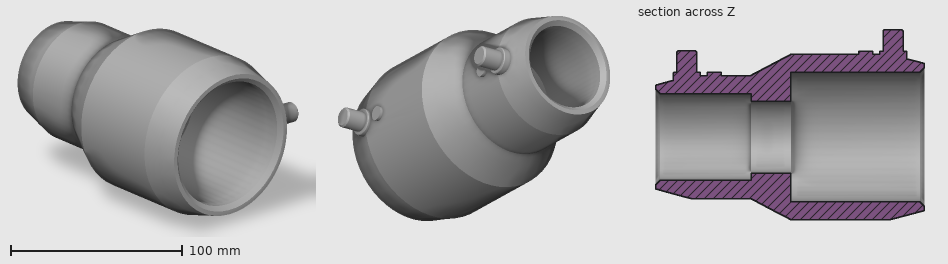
import cadquery as cq

length = 157.0
small_radius = 36.1
large_radius = 48.5
small_end_radius = 30.5
large_end_radius = 43.2
end_taper_length = 20.5
neck_start = 55.5
neck_end = 79.1

lip = 2.7
mouth_chamfer = 2.7
small_socket_radius = small_end_radius - lip - mouth_chamfer
large_socket_radius = large_end_radius - lip - mouth_chamfer
stop_radius = 20.9

terminal_inset = 18.2
terminal_radius = 6.0
terminal_height = 12.5
tip_chamfer = 1.0
collar_radius = 8.0
collar_rise = 1.9
collar_edge_chamfer = 0.5
indicator_inset = 34.2
indicator_radius = 4.2


def revolve_profile(points):
    """Revolve an (axial, radial) outline about the X axis."""
    outline = cq.Workplane("XY").polyline(points).close()
    return outline.revolve(360, (0, 0, 0), (1, 0, 0))


def post(x, bottom, top, radius, chamfer=0):
    """Round post along +Y, with an optional chamfer on its outer edge."""
    axis = cq.Vector(0, 1, 0)
    solid = cq.Solid.makeCylinder(radius, top - bottom, cq.Vector(x, bottom, 0), axis)
    body = cq.Workplane(obj=solid)
    if chamfer:
        body = body.faces(">Y").chamfer(chamfer)
    return body


outer_body = revolve_profile([
    (0, 0),
    (0, small_end_radius),
    (end_taper_length, small_radius),
    (neck_start, small_radius),
    (neck_end, large_radius),
    (length - end_taper_length, large_radius),
    (length, large_end_radius),
    (length, 0),
])

bore = revolve_profile([
    (0, 0),
    (0, small_socket_radius + mouth_chamfer),
    (mouth_chamfer, small_socket_radius),
    (neck_start, small_socket_radius),
    (neck_start, stop_radius),
    (neck_end, stop_radius),
    (neck_end, large_socket_radius),
    (length - mouth_chamfer, large_socket_radius),
    (length, large_socket_radius + mouth_chamfer),
    (length, 0),
])

coupler = outer_body
ends = [
    (terminal_inset, indicator_inset, small_radius, small_socket_radius),
    (length - terminal_inset, length - indicator_inset, large_radius, large_socket_radius),
]
for terminal_x, indicator_x, outer_radius, root in ends:
    collar_top = outer_radius + collar_rise
    terminal_top = collar_top + terminal_height
    coupler = coupler.union(post(terminal_x, root, collar_top, collar_radius, collar_edge_chamfer))
    coupler = coupler.union(post(terminal_x, root, terminal_top, terminal_radius, tip_chamfer))
    coupler = coupler.union(post(indicator_x, root, collar_top, indicator_radius))

result = coupler.cut(bore)